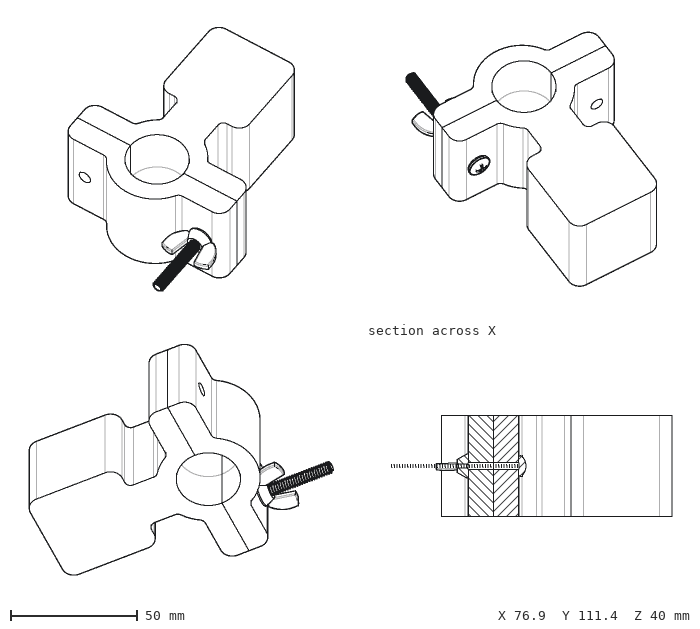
import cadquery as cq
import math

DEPTH = 40.0
BORE_RADIUS = 12.7
RING_RADIUS = 19.3
RING_OFFSET = 1.3
EAR_REACH = 38.1
EAR_THICKNESS = 10.0
CORNER_RADIUS = 5.0
INNER_FILLET = 2.6
NECK_WIDTH = 20.0
BLOCK_SIZE = DEPTH
BLOCK_BOTTOM = 30.6
BOLT_OFFSET = 27.7
BOLT_HOLE_RADIUS = 2.7

SCREW_LENGTH = 50.8
CREST_RADIUS = 2.5
ROOT_RADIUS = 1.8
PITCH = 1.06
FLANK_STEPS = 12
TIP_RADIUS = 1.7
TIP_LENGTH = 0.5
HEAD_RADIUS = 4.8
HEAD_HEIGHT = 3.5
RIM_HEIGHT = 1.5
RIM_BEVEL = 0.2
RIM_BEVEL_HEIGHT = 0.7
DOME_RADIUS = 4.5
DOME_MID_RADIUS = 2.5
DOME_MID_HEIGHT = 2.9
RECESS_SPAN = 4.7
RECESS_WIDTH = 1.0
RECESS_DEPTH = 1.7

NUT_HEIGHT = 4.3
NUT_BASE_RADIUS = 5.3
NUT_BASE_HEIGHT = 0.6
NUT_TIP_RADIUS = 3.6
WING_THICKNESS = 2.6
WING_FILLET = 0.5
WING_TILT = 2.2
WING_ROOT = 2.9
WING_ROOT_DEPTH = 3.9
WING_ROOT_INNER = 3.5
WING_SEAT_GAP = 0.3
WING_SHOULDER = 6.6
WING_REACH = 11.1
WING_CURVE_END = 8.7
WING_CURVE_MID = (9.5, -3.2)
WING_OUTER_DEPTH = 11.1
WING_TIP_MID = (8.5, -12.4)
WING_INNER_CORNER = (5.2, -12.6)

PICK_REACH = 0.06

EAR_JOINT = (RING_RADIUS**2 - (EAR_THICKNESS - RING_OFFSET) ** 2) ** 0.5
NECK_JOINT = RING_OFFSET + (RING_RADIUS**2 - (NECK_WIDTH / 2) ** 2) ** 0.5


def box(width, y_low, y_high):
    """Full-depth block centred on X, spanning y_low to y_high."""
    middle = (y_low + y_high) / 2
    return cq.Workplane("XY").box(width, y_high - y_low, DEPTH).translate((0, middle, 0))


def cylinder_z(radius):
    return cq.Workplane("XY").circle(radius).extrude(DEPTH / 2, both=True)


def near(x, y):
    """Selector for the upright edges at (x, y) and (-x, y)."""
    right, left = (
        cq.selectors.BoxSelector(
            (centre - PICK_REACH, y - PICK_REACH, -DEPTH),
            (centre + PICK_REACH, y + PICK_REACH, DEPTH),
        )
        for centre in (x, -x)
    )
    return right + left


def bolt_holes():
    return (
        cq.Workplane("XZ")
        .pushPoints([(-BOLT_OFFSET, 0), (BOLT_OFFSET, 0)])
        .circle(BOLT_HOLE_RADIUS)
        .extrude(EAR_THICKNESS, both=True)
    )


def ear_bar(side):
    """Ear bar with its outer corners rounded, on the +Y (1) or -Y (-1) side."""
    face = side * EAR_THICKNESS
    bar = box(2 * EAR_REACH, min(0, face), max(0, face))
    return bar.edges(near(EAR_REACH, face)).fillet(CORNER_RADIUS)


def half_ring(side):
    face = side * (RING_RADIUS + RING_OFFSET)
    ring = cylinder_z(RING_RADIUS).translate((0, side * RING_OFFSET, 0))
    return ring.intersect(box(2 * RING_RADIUS, min(0, face), max(0, face)))


def make_mount():
    block = box(BLOCK_SIZE, BLOCK_BOTTOM, BLOCK_BOTTOM + BLOCK_SIZE).edges("|Z").fillet(CORNER_RADIUS)
    neck = box(NECK_WIDTH, BORE_RADIUS, BLOCK_BOTTOM + BLOCK_SIZE / 2)
    mount = ear_bar(1).union(half_ring(1)).union(neck).union(block)
    for x, y in (
        (NECK_WIDTH / 2, BLOCK_BOTTOM),
        (NECK_WIDTH / 2, NECK_JOINT),
        (EAR_JOINT, EAR_THICKNESS),
    ):
        mount = mount.edges(near(x, y)).fillet(INNER_FILLET)
    return mount.cut(cylinder_z(BORE_RADIUS)).cut(bolt_holes())


def make_cap():
    cap = ear_bar(-1).union(half_ring(-1))
    cap = cap.edges(near(EAR_JOINT, -EAR_THICKNESS)).fillet(INNER_FILLET)
    return cap.cut(cylinder_z(BORE_RADIUS)).cut(bolt_holes())


def polar(radius, angle):
    return (radius * math.cos(angle), radius * math.sin(angle))


def flank(start_radius, start_angle, end_radius, end_angle):
    """Points after the start of a spiral, whose radius changes evenly with the angle."""
    radius_step = (end_radius - start_radius) / FLANK_STEPS
    angle_step = (end_angle - start_angle) / FLANK_STEPS
    return [
        polar(start_radius + radius_step * i, start_angle + angle_step * i)
        for i in range(1, FLANK_STEPS + 1)
    ]


def make_threaded_shank():
    """Right-hand thread hanging below Z = 0: the cross-section of one thread, twisted once per pitch."""
    length = SCREW_LENGTH - TIP_LENGTH
    return (
        cq.Workplane("XY")
        .moveTo(CREST_RADIUS, 0)
        .spline(flank(CREST_RADIUS, 0, ROOT_RADIUS, math.pi), includeCurrent=True)
        .spline(flank(ROOT_RADIUS, math.pi, CREST_RADIUS, 2 * math.pi), includeCurrent=True)
        .close()
        .twistExtrude(-length, -360 * length / PITCH)
    )


def make_head():
    """Domed head above Z = 0 with a cross recess."""
    head = (
        cq.Workplane("XZ")
        .lineTo(HEAD_RADIUS - RIM_BEVEL, 0)
        .lineTo(HEAD_RADIUS, RIM_BEVEL_HEIGHT)
        .lineTo(HEAD_RADIUS, RIM_HEIGHT)
        .lineTo(DOME_RADIUS, RIM_HEIGHT)
        .threePointArc((DOME_MID_RADIUS, DOME_MID_HEIGHT), (0, HEAD_HEIGHT))
        .close()
        .revolve(360, (0, 0), (0, 1))
    )
    recess_floor = cq.Workplane("XY").workplane(offset=HEAD_HEIGHT - RECESS_DEPTH)
    for length, width in ((RECESS_SPAN, RECESS_WIDTH), (RECESS_WIDTH, RECESS_SPAN)):
        head = head.cut(recess_floor.rect(length, width).extrude(HEAD_HEIGHT))
    return head


def make_screw():
    shank = make_threaded_shank()
    tip = cq.Workplane("XY").workplane(offset=-SCREW_LENGTH).circle(TIP_RADIUS).extrude(TIP_LENGTH)
    screw = shank.union(tip, clean=False).union(make_head(), clean=False)
    return screw.rotate((0, 0, 0), (1, 0, 0), -90).translate((BOLT_OFFSET, EAR_THICKNESS, 0))


def make_wing():
    """Wing on the +X side of a nut whose seat is at Y = 0 and axis along Y."""
    return (
        cq.Workplane("XY")
        .moveTo(WING_ROOT, -WING_SEAT_GAP)
        .lineTo(WING_SHOULDER, -WING_SEAT_GAP)
        .threePointArc(WING_CURVE_MID, (WING_REACH, -WING_CURVE_END))
        .lineTo(WING_REACH, -WING_OUTER_DEPTH)
        .threePointArc(WING_TIP_MID, WING_INNER_CORNER)
        .lineTo(WING_ROOT_INNER, -WING_ROOT_DEPTH)
        .lineTo(WING_ROOT, -WING_ROOT_DEPTH)
        .close()
        .extrude(WING_THICKNESS / 2, both=True)
        .faces("|Z").edges().fillet(WING_FILLET)
    )


def make_wing_nut():
    nut = (
        cq.Workplane("XY")
        .lineTo(NUT_BASE_RADIUS, 0)
        .lineTo(NUT_BASE_RADIUS, -NUT_BASE_HEIGHT)
        .lineTo(NUT_TIP_RADIUS, -NUT_HEIGHT)
        .lineTo(0, -NUT_HEIGHT)
        .close()
        .revolve(360, (0, 0), (0, 1))
    )
    wing = make_wing()
    nut = nut.union(wing).union(wing.mirror("YZ"))
    nut = nut.cut(cq.Workplane("XZ").circle(CREST_RADIUS).extrude(NUT_HEIGHT))
    nut = nut.rotate((0, 0, 0), (0, 1, 0), -WING_TILT)
    return nut.translate((BOLT_OFFSET, -EAR_THICKNESS, 0))


mount = make_mount()
cap = make_cap()
screw = make_screw()
wing_nut = make_wing_nut()

result = cq.Compound.makeCompound([mount.val(), cap.val(), screw.val(), wing_nut.val()])